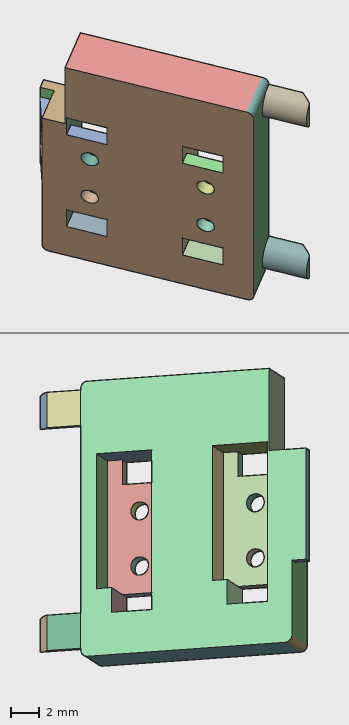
import cadquery as cq

total_length = 19.99
total_depth = 3.52
height = 19.87

plate_left = 1.04
plate_right = 16.73
pin_overhang = 0.04
plate_back = total_depth - pin_overhang
notch_right = 2.74
notch_floor = 13.93
corner_radius = 0.5

column_spacing = 8.6
opening_middle_z = 8.82
window_width = 3.0
window_height = 1.78
window_middle_x = 8.65
window_row_spacing = 9.74
hole_diameter = 1.3
hole_middle_x = 8.88
hole_row_spacing = 3.98

skin_thickness = 1.0
recess_side_margin = 1.1

ledge_height = 8.04
ledge_thickness = 0.75
rib_thickness = 0.98
rib_spacing = 5.02
rib_tip_flat = 0.04

pin_radius = 1.3
pin_depth = 1.52
pin_spacing = 16.1
pin_bevel = 0.75


def box(x_start, x_end, y_start, y_end, z_start, z_end):
    """Axis-aligned block between the given limits."""
    size = (x_end - x_start, y_end - y_start, z_end - z_start)
    return cq.Workplane("XY").box(*size, centered=False).translate((x_start, y_start, z_start))


def make_plate():
    """Plate with a notched upper left corner and three rounded corners."""
    blank = box(plate_left, plate_right, 0, plate_back, 0, height)
    blank = blank.edges("|Y and (<Z or >X)").fillet(corner_radius)
    notch = box(plate_left, notch_right, 0, plate_back, notch_floor, height)
    return blank.cut(notch)


def make_openings(middle_x, row_spacing):
    """Workplane on the front face holding a two by two grid of points."""
    front = cq.Workplane("XZ", origin=(middle_x, 0, opening_middle_z))
    return front.rarray(column_spacing, row_spacing, 2, 2)


def make_recess(column_x):
    """Back recess from the top of the lower window to the top of the upper one."""
    lower_top = opening_middle_z - window_row_spacing / 2 + window_height / 2
    upper_top = lower_top + window_row_spacing
    left = column_x - window_width / 2
    right = column_x + window_width / 2 + recess_side_margin
    return box(left, right, skin_thickness, plate_back, lower_top, upper_top)


def make_rib(middle_z):
    """Tapered rib that carries the ledge, centred on the given height."""
    ledge_front = plate_back - ledge_thickness
    profile = [
        (0, ledge_front),
        (0, ledge_front - rib_tip_flat),
        (plate_left, 0),
        (plate_left, ledge_front),
    ]
    sketch = cq.Workplane("XY", origin=(0, 0, middle_z - rib_thickness / 2)).polyline(profile).close()
    return sketch.extrude(rib_thickness)


def make_latch():
    """Ledge along the back edge, level with the notch floor, and its ribs."""
    ledge_bottom = notch_floor - ledge_height
    latch = box(0, plate_left, plate_back - ledge_thickness, plate_back, ledge_bottom, notch_floor)
    for side in (-1, 1):
        latch = latch.union(make_rib(height / 2 + side * rib_spacing / 2))
    return latch


def make_pin(middle_z):
    """Round pin with a flat back and a bevel between the back and the tip."""
    axis_y = total_depth - pin_depth + pin_radius
    pin = cq.Workplane("YZ", origin=(plate_right, axis_y, middle_z)).circle(pin_radius)
    pin = pin.extrude(total_length - plate_right)
    keep = box(
        plate_right, total_length, total_depth - pin_depth, total_depth,
        middle_z - pin_radius, middle_z + pin_radius,
    )
    keep = keep.edges("|Z and >X and >Y").chamfer(pin_bevel)
    return pin.intersect(keep)


plate = make_plate()
windows = make_openings(window_middle_x, window_row_spacing).rect(window_width, window_height)
plate = plate.cut(windows.extrude(-plate_back))
holes = make_openings(hole_middle_x, hole_row_spacing).circle(hole_diameter / 2)
plate = plate.cut(holes.extrude(-plate_back))
for side in (-1, 1):
    plate = plate.cut(make_recess(window_middle_x + side * column_spacing / 2))

result = plate.union(make_latch())
for side in (-1, 1):
    result = result.union(make_pin(height / 2 + side * pin_spacing / 2))